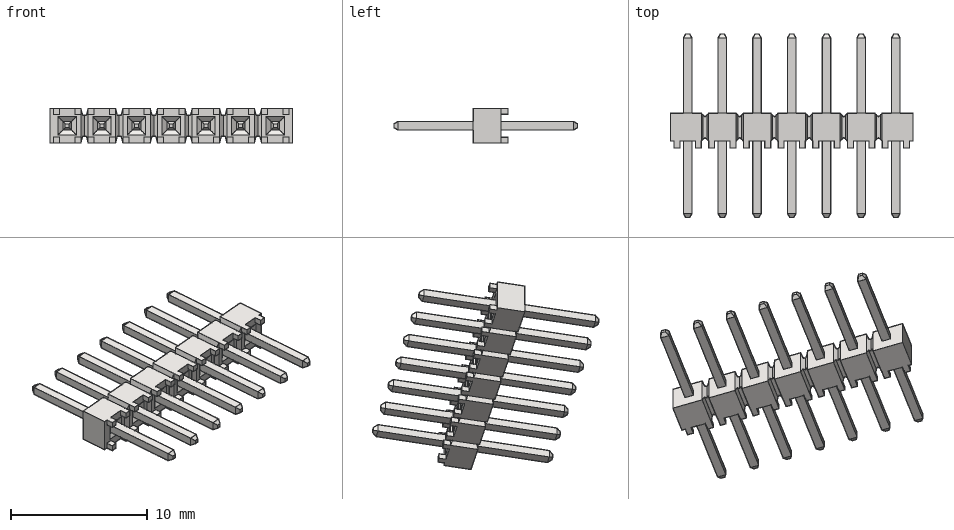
import cadquery as cq

pin_count = 7
body_length = 17.78
body_depth = 2.05
pitch = body_length / pin_count
body_height = pitch

notch_width = 0.53
notch_floor_width = 0.27
notch_depth = 0.5
groove_depth = notch_width / 2

foot_size = 0.45
foot_length = 0.52

funnel_width = 1.33
funnel_depth = 0.25

pin_width = 0.64
pin_length = 13.46
pin_front_reach = 5.6
tip_width = 0.28
tip_length = 0.3

body_back = body_depth
pin_front = -pin_front_reach
pin_back = pin_front + pin_length
pin_places = [(i - (pin_count - 1) / 2) * pitch for i in range(pin_count)]
notch_places = [x + pitch / 2 for x in pin_places[:-1]]


def square_taper(x, y_start, width_start, y_end, width_end):
    """Square solid along Y at the given X, changing width from start to end."""
    return (
        cq.Workplane("XZ", origin=(x, y_start, 0))
        .rect(width_start, width_start)
        .workplane(offset=y_start - y_end)
        .rect(width_end, width_end)
        .loft(ruled=True)
    )


def edge_notch(x, side):
    """Trapezoidal notch across the top (side = 1) or bottom (side = -1) of the body."""
    z_edge = side * body_height / 2
    z_floor = z_edge - side * notch_depth
    return (
        cq.Workplane("XZ")
        .polyline([
            (x - notch_width / 2, z_edge),
            (x + notch_width / 2, z_edge),
            (x + notch_floor_width / 2, z_floor),
            (x - notch_floor_width / 2, z_floor),
        ])
        .close()
        .extrude(-body_depth)
    )


def face_groove(x, y_face, inward):
    """Vertical V-groove in the front or back face; inward is the Y direction into the body."""
    return (
        cq.Workplane("XY", origin=(0, 0, -body_height / 2))
        .polyline([
            (x - notch_width / 2, y_face),
            (x + notch_width / 2, y_face),
            (x, y_face + inward * groove_depth),
        ])
        .close()
        .extrude(body_height)
    )


def feet(x):
    """Four feet at the corners of one cell, flush with its top, bottom and notch edges."""
    spacing_x = pitch - notch_width - foot_size
    spacing_z = body_height - foot_size
    return (
        cq.Workplane("XZ", origin=(x, 0, 0))
        .rarray(spacing_x, spacing_z, 2, 2)
        .rect(foot_size, foot_size)
        .extrude(foot_length)
    )


def pin(x):
    """Square pin with a tapered tip at each end."""
    shaft_front = pin_front + tip_length
    shaft_back = pin_back - tip_length
    shaft = square_taper(x, shaft_front, pin_width, shaft_back, pin_width)
    front_tip = square_taper(x, pin_front, tip_width, shaft_front, pin_width)
    back_tip = square_taper(x, shaft_back, pin_width, pin_back, tip_width)
    return shaft.union(front_tip).union(back_tip)


result = cq.Workplane("XY").box(body_length, body_depth, body_height).translate((0, body_depth / 2, 0))

for notch_x in notch_places:
    for side in (1, -1):
        result = result.cut(edge_notch(notch_x, side))
    result = result.cut(face_groove(notch_x, 0, 1))
    result = result.cut(face_groove(notch_x, body_back, -1))

for pin_x in pin_places:
    result = result.cut(square_taper(pin_x, 0, funnel_width, funnel_depth, pin_width))
    result = result.union(feet(pin_x))
    result = result.union(pin(pin_x))